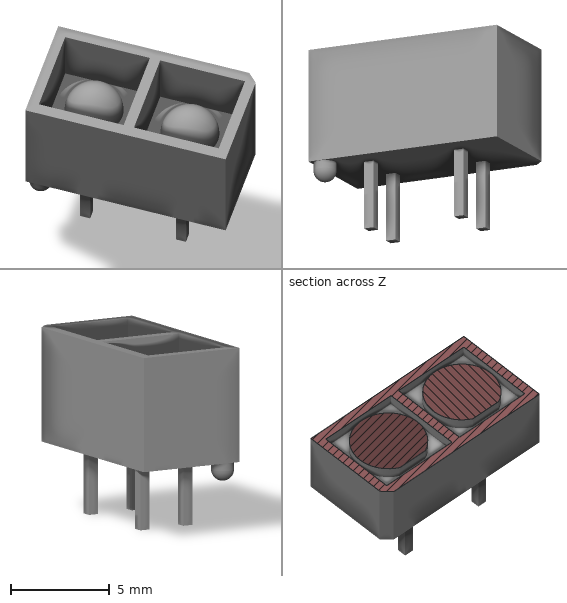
import cadquery as cq

LENGTH = 10.65
WIDTH = 5.65
TOTAL_HEIGHT = 9.4
PIN_LENGTH = 3.51
HOUSING_HEIGHT = TOTAL_HEIGHT - PIN_LENGTH
CORNER_CHAMFER = 0.5

CAVITY_SIDE = 4.5
CAVITY_DEPTH = 3.0
CAVITY_WALL = (LENGTH - 2 * CAVITY_SIDE) / 3
CAVITY_PITCH = CAVITY_SIDE + CAVITY_WALL

LED_PITCH = 5.09
LENS_RADIUS = 1.5
FLANGE_RADIUS = 2.0
FLANGE_FLAT_OFFSET = 1.79
FLANGE_THICKNESS = 0.61

PIN_SIDE = 0.53
PIN_PITCH_Y = 2.53

PEG_RADIUS = 0.59
PEG_LENGTH = 0.99
PEG_INSET = 0.63

LED_XS = (-LED_PITCH / 2, LED_PITCH / 2)
PIN_YS = (-PIN_PITCH_Y / 2, PIN_PITCH_Y / 2)
CAVITY_FLOOR = HOUSING_HEIGHT - CAVITY_DEPTH
FLANGE_TOP = CAVITY_FLOOR + FLANGE_THICKNESS


def make_housing():
    """Block with two open-topped cavities and one chamfered corner."""
    block = (
        cq.Workplane("XY")
        .box(LENGTH, WIDTH, HOUSING_HEIGHT, centered=(True, True, False))
        .edges("|Z and >X and >Y")
        .chamfer(CORNER_CHAMFER)
    )
    cavities = (
        cq.Workplane("XY", origin=(0, 0, CAVITY_FLOOR))
        .pushPoints([(-CAVITY_PITCH / 2, 0), (CAVITY_PITCH / 2, 0)])
        .rect(CAVITY_SIDE, CAVITY_SIDE)
        .extrude(CAVITY_DEPTH)
    )
    return block.cut(cavities)


def make_flange(x):
    """LED flange on the cavity floor, its flat facing +Y."""
    disc = (
        cq.Workplane("XY", origin=(x, 0, CAVITY_FLOOR))
        .circle(FLANGE_RADIUS)
        .extrude(FLANGE_THICKNESS)
    )
    kept_depth = FLANGE_RADIUS + FLANGE_FLAT_OFFSET
    kept = (
        cq.Workplane("XY", origin=(x, FLANGE_FLAT_OFFSET - kept_depth / 2, CAVITY_FLOOR))
        .rect(2 * FLANGE_RADIUS, kept_depth)
        .extrude(FLANGE_THICKNESS)
    )
    return disc.intersect(kept)


def make_lens(x):
    """Hemispherical lens standing on the flange."""
    return cq.Workplane("XY", origin=(x, 0, FLANGE_TOP)).sphere(LENS_RADIUS, angle1=0)


def make_pin(x, y):
    """Square pin hanging from the housing underside."""
    return cq.Workplane("XY", origin=(x, y, 0)).rect(PIN_SIDE, PIN_SIDE).extrude(-PIN_LENGTH)


def make_peg():
    """Round peg near the -X, -Y corner, revolved about its vertical axis."""
    straight = PEG_LENGTH - PEG_RADIUS
    return (
        cq.Workplane("XZ", origin=(PEG_INSET - LENGTH / 2, PEG_INSET - WIDTH / 2, 0))
        .lineTo(PEG_RADIUS, 0)
        .lineTo(PEG_RADIUS, -straight)
        .radiusArc((0, -PEG_LENGTH), PEG_RADIUS)
        .close()
        .revolve(360, (0, 0, 0), (0, 1, 0))
    )


housing = make_housing()
flanges = [make_flange(x) for x in LED_XS]
lenses = [make_lens(x) for x in LED_XS]
pins = [make_pin(x, y) for x in LED_XS for y in PIN_YS]
peg = make_peg()

repeated = [body.val() for body in flanges + lenses + pins]
result = cq.Compound.makeCompound([housing.val(), *repeated, peg.val()])